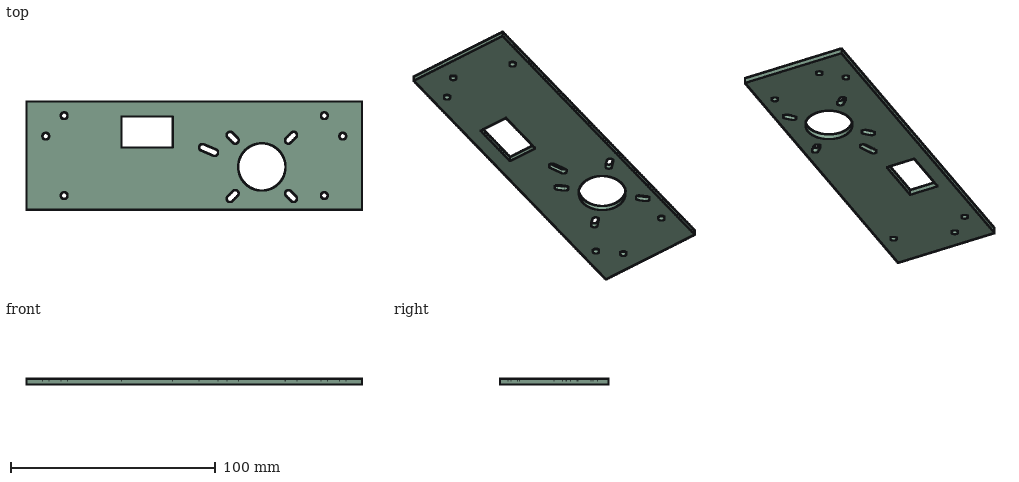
import cadquery as cq
import math

PLATE_LENGTH = 164.0
PLATE_WIDTH = 53.0
PLATE_THICKNESS = 3.0

SCREW_DIAMETER = 3.2
CORNER_SPACING_X = 127.0
CORNER_SPACING_Y = 39.0
END_SPACING_X = 145.0
END_HOLE_Y = 9.5

WINDOW_LENGTH = 25.0
WINDOW_WIDTH = 15.0
WINDOW_CENTER = (-23.0, 11.5)

MOTOR_CENTER = (33.0, -5.5)
MOTOR_BORE_DIAMETER = 23.0
MOTOR_SLOT_RADIUS = 20.15
MOTOR_SLOT_TRAVEL = 3.6
MOTOR_SLOT_ANGLES = (45, 135, 225, 315)

INCLINED_SLOT_CENTER = (7.0, 2.75)
INCLINED_SLOT_TRAVEL = 6.5
INCLINED_SLOT_ANGLE = -23.0

SLOT_WIDTH = SCREW_DIAMETER


def make_plate():
    return cq.Workplane("XY").box(
        PLATE_LENGTH, PLATE_WIDTH, PLATE_THICKNESS, centered=(True, True, False)
    )


def cut_holes(plate, centers, diameter):
    cutter = cq.Workplane("XY").pushPoints(centers).circle(diameter / 2).extrude(PLATE_THICKNESS)
    return plate.cut(cutter)


def cut_slot(plate, center, travel, angle):
    cutter = (
        cq.Workplane("XY")
        .center(*center)
        .slot2D(travel + SLOT_WIDTH, SLOT_WIDTH, angle)
        .extrude(PLATE_THICKNESS)
    )
    return plate.cut(cutter)


def cut_screw_holes(plate):
    centers = []
    for side in (-1, 1):
        corner_x = side * CORNER_SPACING_X / 2
        centers.append((corner_x, CORNER_SPACING_Y / 2))
        centers.append((corner_x, -CORNER_SPACING_Y / 2))
        centers.append((side * END_SPACING_X / 2, END_HOLE_Y))
    return cut_holes(plate, centers, SCREW_DIAMETER)


def cut_window(plate):
    cutter = (
        cq.Workplane("XY")
        .center(*WINDOW_CENTER)
        .rect(WINDOW_LENGTH, WINDOW_WIDTH)
        .extrude(PLATE_THICKNESS)
    )
    return plate.cut(cutter)


def cut_motor_mount(plate):
    plate = cut_holes(plate, [MOTOR_CENTER], MOTOR_BORE_DIAMETER)
    for angle in MOTOR_SLOT_ANGLES:
        slot_center = (
            MOTOR_CENTER[0] + MOTOR_SLOT_RADIUS * math.cos(math.radians(angle)),
            MOTOR_CENTER[1] + MOTOR_SLOT_RADIUS * math.sin(math.radians(angle)),
        )
        plate = cut_slot(plate, slot_center, MOTOR_SLOT_TRAVEL, angle)
    return plate


plate = make_plate()
plate = cut_screw_holes(plate)
plate = cut_window(plate)
plate = cut_motor_mount(plate)
result = cut_slot(plate, INCLINED_SLOT_CENTER, INCLINED_SLOT_TRAVEL, INCLINED_SLOT_ANGLE)